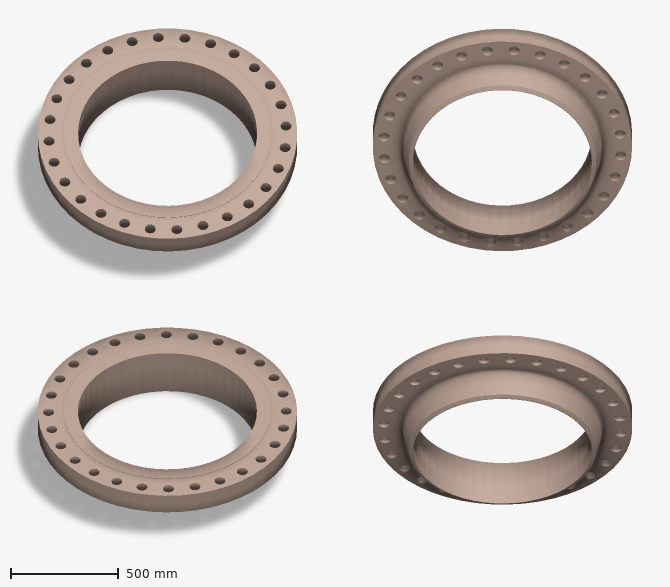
import cadquery as cq

flange_diameter = 1206.0
flange_thickness = 101.0
overall_height = 232.0
bore_diameter = 832.0

raised_face_diameter = 965.0
raised_face_height = 2.0

hub_top_diameter = 939.0
hub_end_diameter = 872.0
weld_tip_diameter = 837.0
weld_bevel_height = 11.0
hub_fillet_radius = 12.0

bolt_count = 28
bolt_circle_diameter = 1105.0
bolt_hole_diameter = 51.0

flange_top = overall_height - raised_face_height
flange_bottom = flange_top - flange_thickness


def make_body():
    """Revolve the half section of the hub, flange and raised face about Z."""
    section = (
        cq.Workplane("XZ")
        .moveTo(bore_diameter / 2, 0)
        .lineTo(weld_tip_diameter / 2, 0)
        .lineTo(hub_end_diameter / 2, weld_bevel_height)
        .lineTo(hub_top_diameter / 2, flange_bottom)
        .lineTo(flange_diameter / 2, flange_bottom)
        .lineTo(flange_diameter / 2, flange_top)
        .lineTo(raised_face_diameter / 2, flange_top)
        .lineTo(raised_face_diameter / 2, overall_height)
        .lineTo(bore_diameter / 2, overall_height)
        .close()
    )
    return section.revolve(360, (0, 0, 0), (0, 1, 0))


def round_hub_root(body):
    """Fillet the inside corner where the hub meets the underside of the flange."""
    margin = 1.0
    reach = hub_top_diameter / 2 + margin
    root_zone = cq.selectors.BoxSelector(
        (-reach, -reach, flange_bottom - margin),
        (reach, reach, flange_bottom + margin),
        boundingbox=True,
    )
    return body.edges(root_zone).fillet(hub_fillet_radius)


def make_bolt_holes():
    """Ring of through-hole cutters, the first one on the +X axis."""
    return (
        cq.Workplane("XY")
        .polarArray(bolt_circle_diameter / 2, 0, 360, bolt_count)
        .circle(bolt_hole_diameter / 2)
        .extrude(overall_height)
    )


result = round_hub_root(make_body()).cut(make_bolt_holes())